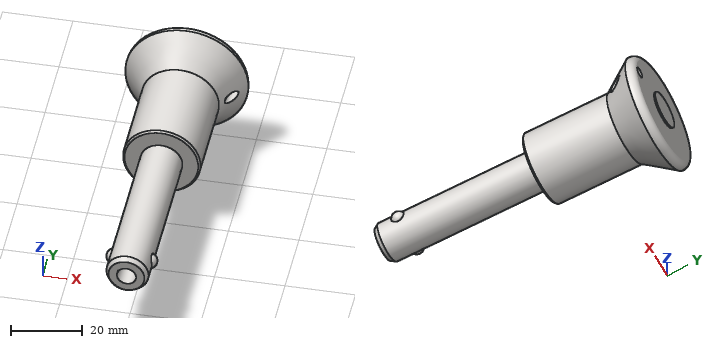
import cadquery as cq

overall_length = 89.4

button_radius = 5.5
button_height = 0.45

knob_radius = 35.0 / 2
knob_face_radius = 15.6
rim_radius = 2.3
rim_arc_end_depth = 2.7
rim_end_depth = 3.0
flare_end_depth = 12.4

sleeve_radius = 22.0 / 2
sleeve_end_depth = 39.4
sleeve_chamfer = 0.5

shank_radius = 12.0 / 2
tip_chamfer_length = 1.4
tip_chamfer_width = 0.9
bore_diameter = 5.45
bore_depth = 10.7

ball_radius = 2.2
ball_reach = 7.2
ball_depth = 81.6

lanyard_diameter = 3.0
lanyard_offset = 13.8


def turned_body():
    """Revolve the half profile of button, knob, sleeve and shank about Y."""
    profile = (
        cq.Workplane("XY")
        .lineTo(button_radius, 0)
        .lineTo(button_radius, -button_height)
        .lineTo(knob_face_radius, -button_height)
        .radiusArc((knob_radius, -rim_arc_end_depth), rim_radius)
        .lineTo(knob_radius, -rim_end_depth)
        .lineTo(sleeve_radius, -flare_end_depth)
        .lineTo(sleeve_radius, sleeve_chamfer - sleeve_end_depth)
        .lineTo(sleeve_radius - sleeve_chamfer, -sleeve_end_depth)
        .lineTo(shank_radius, -sleeve_end_depth)
        .lineTo(shank_radius, tip_chamfer_length - overall_length)
        .lineTo(shank_radius - tip_chamfer_width, -overall_length)
        .lineTo(0, -overall_length)
        .close()
    )
    return profile.revolve(360, (0, 0, 0), (0, 1, 0))


def locking_ball(side):
    """Ball standing out of the shank on the +X (1) or -X (-1) side."""
    centre = (side * (ball_reach - ball_radius), -ball_depth, 0)
    return cq.Workplane("XY").sphere(ball_radius).translate(centre)


def tip_bore():
    """Blind round bore entering the shank from its tip."""
    tip_plane = cq.Workplane("XZ", origin=(0, -overall_length, 0))
    return tip_plane.circle(bore_diameter / 2).extrude(-bore_depth)


def lanyard_hole():
    """Hole parallel to Y through the knob flange."""
    knob_plane = cq.Workplane("XZ").center(lanyard_offset, 0)
    return knob_plane.circle(lanyard_diameter / 2).extrude(flare_end_depth)


result = turned_body()
for ball_side in (-1, 1):
    result = result.union(locking_ball(ball_side))
result = result.cut(tip_bore()).cut(lanyard_hole())